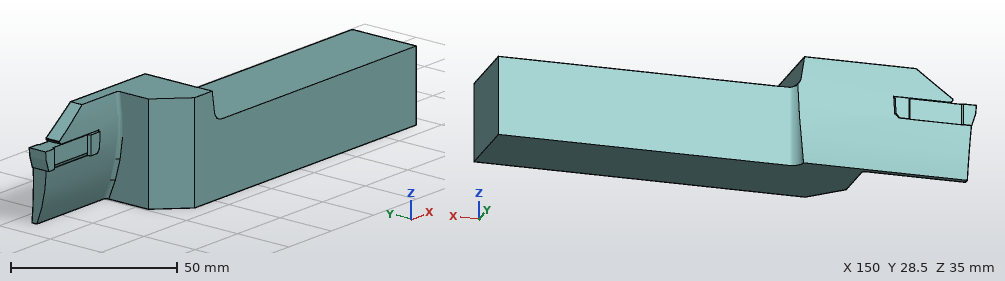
import cadquery as cq

LENGTH = 150.0
SHANK = 25.0

HEAD_HEIGHT = 35.0
HEAD_DEPTH = 28.5
HEAD_TOP_END = 54.0
HEAD_END = 55.5
HEAD_BACK_END = 55.0
BLEND_RADIUS = 3.6
CORNER_CHAMFER = 9.9
SHOULDER_X = 35.8
SHOULDER_FILLET = 1.0

BLADE_FOOT_X = 3.5
BLADE_FRONT_TOP_Y = 21.8
BLADE_FRONT_MID_Y = 21.3
BLADE_FRONT_FOOT_Y = 26.5
BLADE_BACK_TOP_Y = 26.2
BLADE_BACK_MID_Y = 26.4
CURVE_MID_Z = 18.0
NOSE_X = 7.2
NOSE_Z = 26.4
JAW_TOP_X = 18.9
JAW_LIP = 0.8

INSERT_TOP = SHANK
INSERT_BOTTOM = 18.5
INSERT_NEAR_Y = 20.2
INSERT_FAR_Y = 26.7
INSERT_FRONT_FOOT_X = 1.5
LAND_X = 0.3
LAND_Z = 22.2
INSERT_END = 25.6
INSERT_END_BEVEL_X = 25.4
INSERT_END_FOOT_X = 24.3
END_BEVEL = 1.4
SEAT_GAP = 0.3
WAIST_START = 4.2
WAIST_END = 21.3
WAIST_RAMP = 0.5
WAIST_NEAR_DEPTH = 0.9
WAIST_FAR_DEPTH = 0.5
WAIST_BEVEL = 0.9
WAIST_BEVEL_DEPTH = 0.3


def holder_profile():
    """Side outline of shank, head and blade, extruded across the full depth."""
    profile = (
        cq.Workplane("XZ")
        .moveTo(BLADE_FOOT_X, 0)
        .lineTo(LENGTH, 0)
        .lineTo(LENGTH, SHANK)
        .lineTo(HEAD_END, SHANK)
        .lineTo(HEAD_TOP_END, HEAD_HEIGHT)
        .lineTo(JAW_TOP_X, HEAD_HEIGHT)
        .lineTo(NOSE_X, NOSE_Z)
        .lineTo(NOSE_X, INSERT_TOP + SEAT_GAP + JAW_LIP)
        .lineTo(NOSE_X + JAW_LIP, INSERT_TOP + SEAT_GAP)
        .lineTo(NOSE_X + JAW_LIP, INSERT_BOTTOM)
        .lineTo(INSERT_FRONT_FOOT_X, INSERT_BOTTOM)
        .close()
        .extrude(-HEAD_DEPTH)
    )
    return profile.edges(cq.NearestToPointSelector((HEAD_END, HEAD_DEPTH / 2, SHANK))).fillet(BLEND_RADIUS)


def holder_plan():
    """Plan outline that gives the corner chamfer and the step behind the shank."""
    chamfer_end = SHOULDER_X + CORNER_CHAMFER
    plan = (
        cq.Workplane("XY")
        .moveTo(chamfer_end, 0)
        .lineTo(LENGTH, 0)
        .lineTo(LENGTH, SHANK)
        .lineTo(HEAD_END, SHANK)
        .lineTo(HEAD_BACK_END, HEAD_DEPTH)
        .lineTo(0, HEAD_DEPTH)
        .lineTo(0, CORNER_CHAMFER)
        .lineTo(SHOULDER_X, CORNER_CHAMFER)
        .close()
        .extrude(HEAD_HEIGHT)
    )
    return plan.edges(cq.NearestToPointSelector((HEAD_END, SHANK, HEAD_HEIGHT / 2))).fillet(BLEND_RADIUS)


def blade_front_cut():
    """Space in front of the curved blade, rounded where it meets the shoulder."""
    space = (
        cq.Workplane("YZ")
        .lineTo(BLADE_FRONT_FOOT_Y, 0)
        .threePointArc((BLADE_FRONT_MID_Y, CURVE_MID_Z), (BLADE_FRONT_TOP_Y, HEAD_HEIGHT))
        .lineTo(0, HEAD_HEIGHT)
        .close()
        .extrude(SHOULDER_X)
    )
    return space.faces(">X").edges("not(#Z or #Y)").fillet(SHOULDER_FILLET)


def blade_back_cut():
    """Space behind the concave back of the blade and head."""
    return (
        cq.Workplane("YZ")
        .moveTo(HEAD_DEPTH, 0)
        .threePointArc((BLADE_BACK_MID_Y, CURVE_MID_Z), (BLADE_BACK_TOP_Y, HEAD_HEIGHT))
        .lineTo(HEAD_DEPTH, HEAD_HEIGHT)
        .close()
        .extrude(HEAD_END + BLEND_RADIUS)
    )


def insert_seat():
    """Slot through the blade, open at the front, with clearance above and behind the insert."""
    return (
        cq.Workplane("XZ")
        .moveTo(0, INSERT_BOTTOM)
        .lineTo(INSERT_END_FOOT_X, INSERT_BOTTOM)
        .lineTo(INSERT_END_BEVEL_X + SEAT_GAP, INSERT_BOTTOM + END_BEVEL)
        .lineTo(INSERT_END + SEAT_GAP, INSERT_TOP + SEAT_GAP)
        .lineTo(0, INSERT_TOP + SEAT_GAP)
        .close()
        .extrude(-HEAD_DEPTH)
    )


def make_holder():
    return (
        holder_profile()
        .intersect(holder_plan())
        .cut(blade_front_cut())
        .cut(blade_back_cut())
        .cut(insert_seat())
    )


def waist_cut(face_y, depth):
    """Shallow relief with sloped ends in one side of the insert; a negative depth cuts toward -Y."""
    return (
        cq.Workplane("XY", origin=(0, 0, INSERT_BOTTOM))
        .moveTo(WAIST_START, face_y)
        .lineTo(WAIST_START + WAIST_RAMP, face_y + depth)
        .lineTo(WAIST_END - WAIST_RAMP, face_y + depth)
        .lineTo(WAIST_END, face_y)
        .close()
        .extrude(INSERT_TOP - INSERT_BOTTOM)
    )


def waist_bevel():
    """Bevel along the lower near edge of the insert's waist."""
    waist_y = INSERT_NEAR_Y + WAIST_NEAR_DEPTH
    start = WAIST_START + WAIST_RAMP
    return (
        cq.Workplane("YZ", origin=(start, 0, 0))
        .moveTo(waist_y, INSERT_BOTTOM)
        .lineTo(waist_y + WAIST_BEVEL_DEPTH, INSERT_BOTTOM)
        .lineTo(waist_y, INSERT_BOTTOM + WAIST_BEVEL)
        .close()
        .extrude(WAIST_END - WAIST_RAMP - start)
    )


def make_insert():
    blank = (
        cq.Workplane("XZ", origin=(0, INSERT_NEAR_Y, 0))
        .moveTo(0, INSERT_TOP)
        .lineTo(LAND_X, LAND_Z)
        .lineTo(INSERT_FRONT_FOOT_X, INSERT_BOTTOM)
        .lineTo(INSERT_END_FOOT_X, INSERT_BOTTOM)
        .lineTo(INSERT_END_BEVEL_X, INSERT_BOTTOM + END_BEVEL)
        .lineTo(INSERT_END, INSERT_TOP)
        .close()
        .extrude(INSERT_NEAR_Y - INSERT_FAR_Y)
    )
    return (
        blank
        .cut(waist_cut(INSERT_NEAR_Y, WAIST_NEAR_DEPTH))
        .cut(waist_cut(INSERT_FAR_Y, -WAIST_FAR_DEPTH))
        .cut(waist_bevel())
    )


holder = make_holder()
insert = make_insert()

result = cq.Compound.makeCompound([holder.solids().val(), insert.solids().val()])